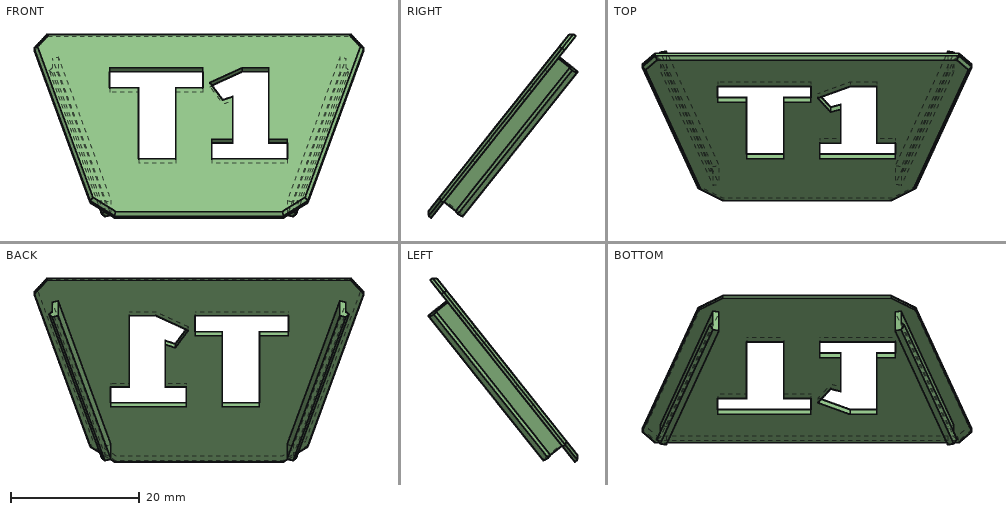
import cadquery as cq
import math

tilt = 51.5
plate_length = 36.25
edge_chamfer = 0.5
plate_thickness = 2 * edge_chamfer
half_length = plate_length / 2

half_width = 25.7
top_half_width = 23.65
lower_half_width = 16.95
bottom_half_width = 13.15
top_clip = 2.85
bottom_clip = 3.05
shoulder_y = half_length - top_clip
lower_y = bottom_clip - half_length

rail_depth = 3.7
rail_thickness = 1.0
rail_inset = 2.25
snap_height = 0.5
snap_start_depth = 2.3
snap_peak_depth = 2.9
rail_top_gap = 2.3
rail_bottom_overrun = 0.45

letter_top = 11.0
letter_bottom = -7.1
t_left, t_right = -13.95, 0.6
t_stem_left, t_stem_right = -9.4, -3.65
t_bar_bottom = 7.05
one_left, one_right = 2.0, 13.75
one_stem_left, one_stem_right = 5.3, 10.85
one_base_top = -3.2
one_flag_outline = [(one_stem_left, 5.3), (3.7, 4.6), (1.7, 8.05), (6.75, letter_top)]


def make_plate():
    right_side = [
        (bottom_half_width, -half_length),
        (lower_half_width, lower_y),
        (half_width, shoulder_y),
        (top_half_width, half_length),
    ]
    left_side = [(-x, y) for x, y in reversed(right_side)]
    plate = cq.Workplane("XY").polyline(right_side + left_side).close().extrude(plate_thickness)
    return plate.faces(">Z").chamfer(edge_chamfer)


def make_window(outline):
    return cq.Workplane("XY").polyline(outline).close().extrude(plate_thickness)


def make_t_window():
    return make_window([
        (t_left, letter_top),
        (t_right, letter_top),
        (t_right, t_bar_bottom),
        (t_stem_right, t_bar_bottom),
        (t_stem_right, letter_bottom),
        (t_stem_left, letter_bottom),
        (t_stem_left, t_bar_bottom),
        (t_left, t_bar_bottom),
    ])


def make_one_window():
    base_and_stem = [
        (one_stem_right, letter_top),
        (one_stem_right, one_base_top),
        (one_right, one_base_top),
        (one_right, letter_bottom),
        (one_left, letter_bottom),
        (one_left, one_base_top),
        (one_stem_left, one_base_top),
    ]
    return make_window(base_and_stem + one_flag_outline)


def make_right_rail():
    """Leg with an outward snap ridge, swept straight along the right slanted side."""
    run_x = half_width - lower_half_width
    run_y = shoulder_y - lower_y
    side_length = math.hypot(run_x, run_y)
    side_plane = cq.Plane(
        origin=(lower_half_width, lower_y, 0),
        xDir=(run_y, -run_x, 0),
        normal=(run_x, run_y, 0),
    )
    inner = -rail_inset - rail_thickness
    profile = [
        (inner, 0),
        (-rail_inset, 0),
        (-rail_inset, snap_start_depth),
        (snap_height - rail_inset, snap_peak_depth),
        (-rail_inset, rail_depth),
        (inner, rail_depth),
    ]
    rail_length = side_length - rail_top_gap + rail_bottom_overrun
    return (
        cq.Workplane(side_plane)
        .workplane(offset=-rail_bottom_overrun)
        .polyline(profile)
        .close()
        .extrude(rail_length)
    )


right_rail = make_right_rail()
plate = make_plate().cut(make_t_window()).cut(make_one_window())
flat_part = plate.union(right_rail).union(right_rail.mirror("YZ"))
result = flat_part.rotate((0, 0, 0), (1, 0, 0), tilt)